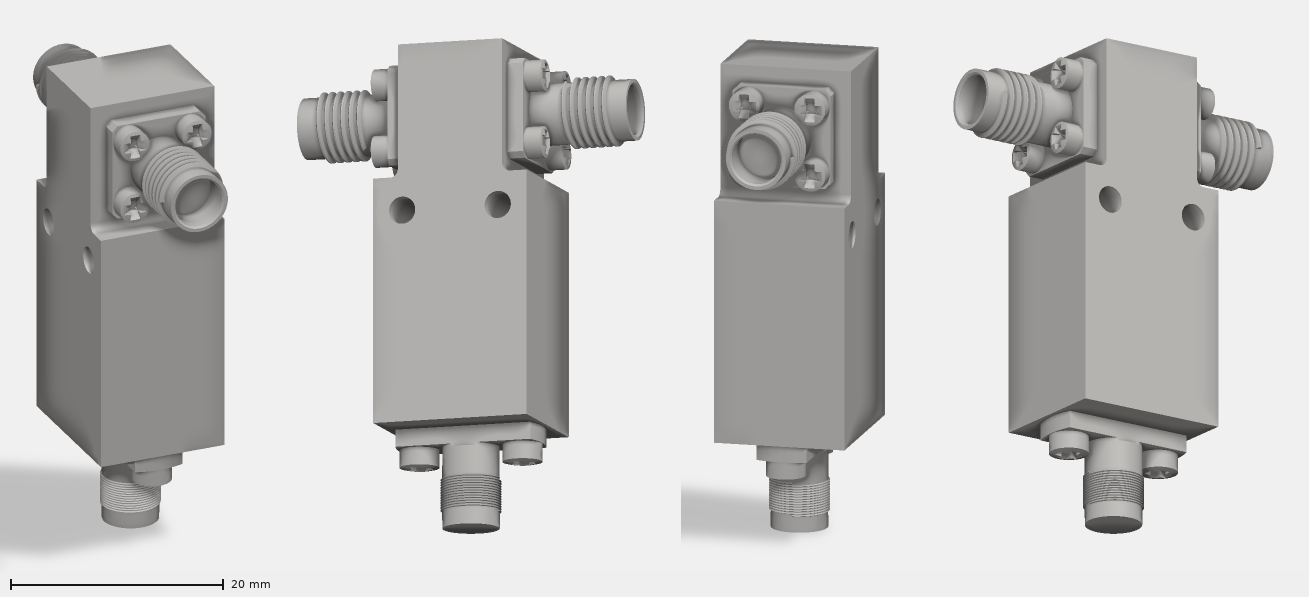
import cadquery as cq

total_height = 45.45

body_width = 15.2
body_depth = 12.7
body_height = 36.05
neck_width = 10.3
shoulder_height = 23.35
shoulder_fillet = 0.77
mount_hole_diameter = 2.6
mount_hole_offset = 4.75
mount_hole_height = 20.2

side_axis_height = 29.7
side_span = 32.55
side_flange_size = 9.55
side_flange_thickness = 1.55
side_flange_chamfer = 0.55
side_barrel_diameter = 5.8
side_bore_diameter = 4.77
side_bore_depth = 2.95
side_bore_chamfer = 0.2
side_screw_diameter = 3.0
side_screw_height = 1.95
side_screw_offset = 3.2
side_thread_diameter = 6.75
side_thread_length = 4.5
side_thread_turns = 5.65
side_thread_pitch = side_thread_length / side_thread_turns
side_thread_root_width = 0.6
side_thread_crest_width = 0.15
side_thread_setback = 1.77

bottom_length = total_height - body_height
bottom_flange_diameter = 14.2
bottom_flange_depth = 4.85
bottom_flange_thickness = 1.65
bottom_barrel_diameter = 5.4
bottom_collar_height = 0.27
bottom_screw_diameter = 3.77
bottom_screw_height = 1.95
bottom_screw_offset = 5.1
bottom_thread_diameter = 5.75
bottom_thread_pitch = 0.24
bottom_thread_turns = 13
bottom_thread_root_width = 0.205
bottom_thread_crest_width = 0.05
bottom_thread_setback = 1.6

head_dome_rise = 0.27
recess_width = 1.0
recess_length = 2.65
recess_floor_length = 0.55
recess_depth = 1.1

overlap = 0.05


def cylinder(diameter, start, end):
    return cq.Workplane("XY").workplane(offset=start).circle(diameter / 2).extrude(end - start)


def helical_thread(root_diameter, crest_diameter, pitch, turns, root_width, crest_width):
    """Right-handed ridge about Z; its first turn starts on +X, centred at Z = 0."""
    root_radius = root_diameter / 2
    helix = cq.Wire.makeHelix(pitch, pitch * turns, root_radius)
    section = (
        cq.Workplane("XZ")
        .moveTo(root_radius - overlap, -root_width / 2)
        .lineTo(crest_diameter / 2, -crest_width / 2)
        .lineTo(crest_diameter / 2, crest_width / 2)
        .lineTo(root_radius - overlap, root_width / 2)
        .close()
    )
    return section.sweep(cq.Workplane(helix), isFrenet=True)


def screw_head(diameter, height):
    """Domed head standing on Z = 0 with a cross recess whose arms slope to a small flat floor."""
    radius = diameter / 2
    dome_radius = (radius**2 + head_dome_rise**2) / (2 * head_dome_rise)
    dome = cq.Workplane("XY").sphere(dome_radius).translate((0, 0, height - dome_radius))
    head = cylinder(diameter, 0, height).intersect(dome)
    slot = (
        cq.Workplane("XZ")
        .moveTo(-recess_length / 2, height)
        .lineTo(recess_length / 2, height)
        .lineTo(recess_floor_length / 2, height - recess_depth)
        .lineTo(-recess_floor_length / 2, height - recess_depth)
        .close()
        .extrude(recess_width / 2, both=True)
    )
    return head.cut(slot).cut(slot.rotate((0, 0, 0), (0, 0, 1), 90))


def make_body():
    """Stepped block with rounded inner corners and two mounting holes through its depth."""
    neck_half = neck_width / 2
    body = cq.Workplane("XY").box(body_width, body_depth, shoulder_height, centered=(True, True, False))
    neck = cq.Workplane("XY").box(neck_width, body_depth, body_height, centered=(True, True, False))
    body = body.union(neck)
    inner_corners = cq.selectors.BoxSelector(
        (-neck_half - overlap, -body_depth, shoulder_height - overlap),
        (neck_half + overlap, body_depth, shoulder_height + overlap),
    )
    body = body.edges("|Y").edges(inner_corners).fillet(shoulder_fillet)
    holes = (
        cq.Workplane("XZ")
        .pushPoints([(-mount_hole_offset, mount_hole_height), (mount_hole_offset, mount_hole_height)])
        .circle(mount_hole_diameter / 2)
        .extrude(body_depth, both=True)
    )
    return body.cut(holes)


def make_side_connector():
    """Connector along +Z, with its flange seated on Z = 0."""
    length = (side_span - neck_width) / 2
    flange = (
        cq.Workplane("XY")
        .rect(side_flange_size, side_flange_size)
        .extrude(side_flange_thickness)
        .edges("|Z")
        .chamfer(side_flange_chamfer)
    )
    connector = flange.union(cylinder(side_barrel_diameter, 0, length))

    thread = helical_thread(
        side_barrel_diameter, side_thread_diameter, side_thread_pitch, side_thread_turns,
        side_thread_root_width, side_thread_crest_width,
    )
    thread = thread.rotate((0, 0, 0), (1, 0, 0), 180).rotate((0, 0, 0), (0, 0, 1), -90)
    connector = connector.union(thread.translate((0, 0, length - side_thread_setback)))

    bore = cylinder(side_bore_diameter, length - side_bore_depth, length)
    connector = connector.cut(bore)
    mouth_edges = connector.faces(">Z").edges("%CIRCLE")
    connector = mouth_edges.edges(cq.selectors.RadiusNthSelector(0)).chamfer(side_bore_chamfer)

    screw = screw_head(side_screw_diameter, side_screw_height)
    for x_sign in (-1, 1):
        for y_sign in (-1, 1):
            place = (x_sign * side_screw_offset, y_sign * side_screw_offset, side_flange_thickness)
            connector = connector.union(screw.translate(place))
    return connector


def make_bottom_connector():
    """Connector along +Z, with its flange seated on Z = 0."""
    barrel_start = bottom_flange_thickness + bottom_collar_height
    flange = cylinder(bottom_flange_diameter, 0, bottom_flange_thickness)
    collar = cylinder(bottom_barrel_diameter, 0, barrel_start)
    flats = cq.Workplane("XY").box(bottom_flange_diameter, bottom_flange_depth, 2 * barrel_start)
    barrel = cylinder(bottom_barrel_diameter, barrel_start, bottom_length)
    connector = flange.union(collar).intersect(flats).union(barrel)

    thread = helical_thread(
        bottom_barrel_diameter, bottom_thread_diameter, bottom_thread_pitch, bottom_thread_turns,
        bottom_thread_root_width, bottom_thread_crest_width,
    )
    thread = thread.rotate((0, 0, 0), (1, 0, 0), 180).rotate((0, 0, 0), (0, 0, 1), 180)
    connector = connector.union(thread.translate((0, 0, bottom_length - bottom_thread_setback)))

    screw = screw_head(bottom_screw_diameter, bottom_screw_height)
    for x_sign in (-1, 1):
        place = (x_sign * bottom_screw_offset, 0, bottom_flange_thickness)
        connector = connector.union(screw.translate(place))
    return connector


left_connector = (
    make_side_connector()
    .rotate((0, 0, 0), (0, 1, 0), -90)
    .translate((-neck_width / 2, 0, side_axis_height))
)
right_connector = left_connector.rotate((0, 0, side_axis_height), (0, 1, side_axis_height), 180)
bottom_connector = make_bottom_connector().rotate((0, 0, 0), (1, 0, 0), 180)

joined = make_body().union(left_connector).union(right_connector).union(bottom_connector)
result = cq.Workplane("XY").newObject([joined.solids().val()])